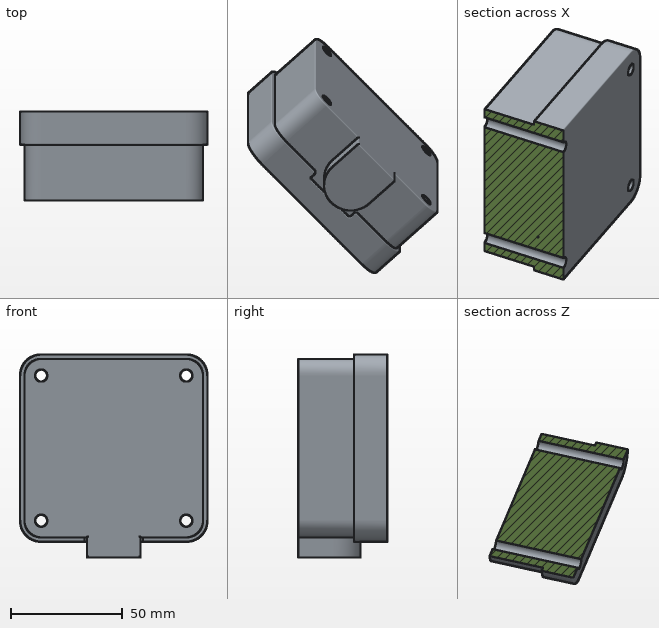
import cadquery as cq

total_depth = 40.0
lid_depth = 15.0
lid_front = total_depth - lid_depth

lid_side = 84.0
lid_overhang = 2.0
body_side = lid_side - 2 * lid_overhang
hole_spacing = 65.0
lid_corner_radius = (lid_side - hole_spacing) / 2
body_corner_radius = lid_corner_radius - lid_overhang
hole_diameter = 5.3

tab_width = 24.0
tab_radius = tab_width / 2
tab_depth = 28.0
tab_arc_center = tab_depth - tab_radius
tab_drop = 7.0
tab_bottom = -lid_side / 2 - tab_drop

notch_clearance = 1.0
notch_half_width = tab_radius + notch_clearance
notch_back = tab_depth + notch_clearance
notch_corner_radius = 1.0

edge_radius = 0.5


def rounded_block(side, corner_radius, front, depth):
    """Square block with rounded corners, running along +Y from the front position."""
    return (
        cq.Workplane("XZ", origin=(0, front, 0))
        .rect(side, side)
        .extrude(-depth)
        .edges("|Y")
        .fillet(corner_radius)
    )


def make_body():
    """Body and tab in one piece, filleted around the shared front face."""
    block = rounded_block(body_side, body_corner_radius, 0, total_depth)
    tab = (
        cq.Workplane("XY", origin=(0, 0, tab_bottom))
        .moveTo(-tab_radius, 0)
        .lineTo(-tab_radius, tab_arc_center)
        .threePointArc((0, tab_depth), (tab_radius, tab_arc_center))
        .lineTo(tab_radius, 0)
        .close()
        .extrude(-tab_bottom)
    )
    return block.union(tab).faces("<Y").fillet(edge_radius)


def make_lid():
    """Overhanging lid whose rounded rims follow its outline and the tab notch in its lower wall."""
    lid = rounded_block(lid_side, lid_corner_radius, lid_front, lid_depth)
    notch = cq.Workplane("XY").box(
        2 * notch_half_width, notch_back - lid_front, lid_overhang, centered=(True, False, False)
    )
    lid = lid.cut(notch.translate((0, lid_front, -lid_side / 2)))
    lid = lid.edges("|Z").edges("<Z").fillet(notch_corner_radius)
    lid = lid.faces(">Y").edges().fillet(edge_radius)

    front_rim_edge = lid.faces("<Y").edges("<Z").edges("<X")
    return front_rim_edge.fillet(edge_radius)


def make_screw_holes():
    """Four straight holes through the full depth."""
    return (
        cq.Workplane("XZ")
        .rect(hole_spacing, hole_spacing, forConstruction=True)
        .vertices()
        .circle(hole_diameter / 2)
        .extrude(-total_depth)
    )


result = make_lid().union(make_body()).cut(make_screw_holes())